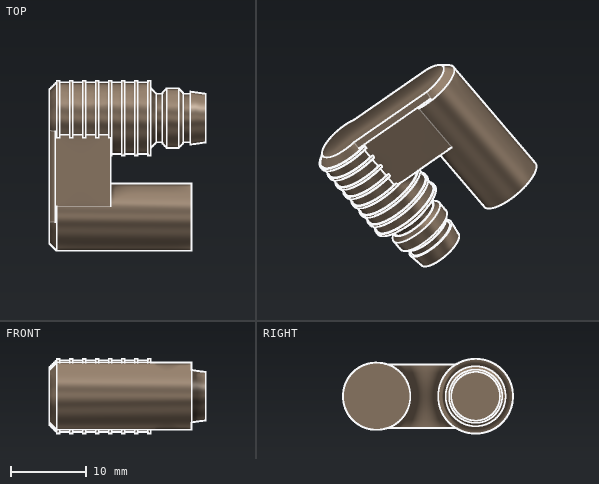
import cadquery as cq

barrel_spacing = 13.2
end_chamfer = 1.0

ribbed_diameter = 9.6
ribbed_length = 13.55
rib_diameter = 10.0
rib_width = 0.4
rib_count = 8
rib_pitch = (ribbed_length - end_chamfer - rib_width) / (rib_count - 1)

nipple_end = 20.9
neck_diameter = 6.5
collar_diameter = 8.0
collar_bevel = 0.6
collar_start = 15.1
collar_end = 17.85
barb_start = 18.8
barb_diameter = 7.1
shoulder_bevel = (collar_diameter - neck_diameter) / 2

plain_diameter = 9.0
plain_length = 19.0

web_length = 8.25
web_height = 8.5
web_chamfer = 0.8


def chamfered_barrel(diameter, length):
    """Cylinder from x = 0 to x = length with a chamfer on its -X rim."""
    return (
        cq.Workplane("YZ")
        .circle(diameter / 2)
        .extrude(length)
        .faces("<X")
        .chamfer(end_chamfer)
    )


def rib(index):
    """Narrow ring around the ribbed barrel."""
    start = end_chamfer + index * rib_pitch
    return cq.Workplane("YZ", origin=(start, 0, 0)).circle(rib_diameter / 2).extrude(rib_width)


def nipple():
    """Neck, bevelled collar and tapered barb, revolved about the X axis."""
    neck_radius = neck_diameter / 2
    collar_radius = collar_diameter / 2
    profile = [
        (ribbed_length, 0),
        (ribbed_length, collar_radius),
        (ribbed_length + shoulder_bevel, neck_radius),
        (collar_start, neck_radius),
        (collar_start, collar_radius - collar_bevel),
        (collar_start + collar_bevel, collar_radius),
        (collar_end - collar_bevel, collar_radius),
        (collar_end, collar_radius - collar_bevel),
        (collar_end, neck_radius),
        (barb_start, neck_radius),
        (barb_start, barb_diameter / 2),
        (nipple_end, neck_radius),
        (nipple_end, 0),
    ]
    return cq.Workplane("XY").polyline(profile).close().revolve(360, (0, 0, 0), (1, 0, 0))


def web():
    """Flat block between the barrel axes, chamfered along its long -X edges."""
    return (
        cq.Workplane("XY")
        .box(web_length, barrel_spacing, web_height, centered=(False, True, True))
        .translate((0, -barrel_spacing / 2, 0))
        .faces("<X")
        .edges("|Y")
        .chamfer(web_chamfer)
    )


def web_chamfer_relief():
    """Upper prism that carries the web chamfer plane across the tip of the plain barrel."""
    half_height = web_height / 2
    clear_height = plain_diameter
    profile = [
        (0, half_height - web_chamfer),
        (web_chamfer, half_height),
        (web_chamfer, clear_height),
        (0, clear_height),
    ]
    return (
        cq.Workplane("XZ", origin=(0, -barrel_spacing, 0))
        .polyline(profile)
        .close()
        .extrude(plain_diameter / 2, both=True)
    )


ribbed_barrel = chamfered_barrel(ribbed_diameter, ribbed_length)
for rib_index in range(rib_count):
    ribbed_barrel = ribbed_barrel.union(rib(rib_index))

plain_barrel = chamfered_barrel(plain_diameter, plain_length).translate((0, -barrel_spacing, 0))
upper_relief = web_chamfer_relief()
lower_relief = upper_relief.mirror("XY")
plain_barrel = plain_barrel.cut(upper_relief).cut(lower_relief)

result = ribbed_barrel.union(nipple()).union(plain_barrel).union(web())